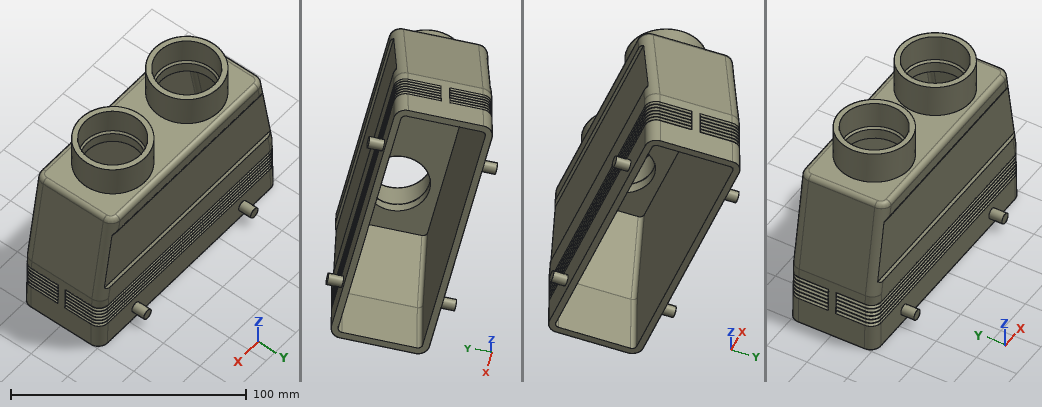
import cadquery as cq
import math

LENGTH = 120.0
WIDTH = 43.0
HOOD_HEIGHT = 76.1
SHOULDER_HEIGHT = 29.6
SHOULDER_HALF_LENGTH = 59.3
ROOF_HALF_LENGTH = 51.2
CORNER_RADIUS = 5.0
ROOF_EDGE_RADIUS = 2.5
WALL = 3.0

TOTAL_HEIGHT = 92.0
COLLAR_SPACING = 49.9
COLLAR_DIAMETER = 35.0
ENTRY_DIAMETER = 29.8
ENTRY_DEPTH = 13.0
BORE_DIAMETER = 28.0

PANEL_BOTTOM = 35.6
PANEL_TOP = 68.0
PANEL_DEPTH = 1.0
PANEL_SLOPE = 1.2

GROOVE_COUNT = 6
GROOVE_HEIGHT = 1.7
GROOVE_DEPTH = 1.0
GRIP_BOTTOM = 13.1
GRIP_HEIGHT = 11.6
GROOVE_PITCH = (GRIP_HEIGHT - GROOVE_HEIGHT) / (GROOVE_COUNT - 1)
END_RIB_WIDTH = 3.8

PIN_DIAMETER = 5.0
PIN_SPACING = 72.0
PIN_HEIGHT = 6.4
PIN_TIP_SPAN = 56.0


def hood_block(inset):
    """Hood block with rounded upright edges and a sharp roof edge, its faces moved inward by `inset`."""
    outline = [
        (LENGTH / 2 - inset, 0),
        (SHOULDER_HALF_LENGTH - inset, SHOULDER_HEIGHT),
        (ROOF_HALF_LENGTH - inset, HOOD_HEIGHT - inset),
    ]
    mirrored = [(-x, z) for x, z in reversed(outline)]
    block = cq.Workplane("XZ").polyline(outline + mirrored).close().extrude(WIDTH / 2 - inset, both=True)
    upright_edges = block.faces("<Y or >Y").edges("not #Z")
    return upright_edges.fillet(CORNER_RADIUS - inset)


def half_length_at(height):
    """Half length of the hood at a height below the shoulder."""
    lean = (LENGTH / 2 - SHOULDER_HALF_LENGTH) / SHOULDER_HEIGHT
    return LENGTH / 2 - lean * height


def side_panel_cutter():
    """Trapezoid prism on the -Y side, running past both ends of the hood."""
    face = -WIDTH / 2
    floor = face + PANEL_DEPTH
    section = [
        (face, PANEL_BOTTOM),
        (floor, PANEL_BOTTOM + PANEL_SLOPE),
        (floor, PANEL_TOP - PANEL_SLOPE),
        (face, PANEL_TOP),
    ]
    return cq.Workplane("YZ").polyline(section).close().extrude(LENGTH / 2, both=True)


def groove_cutter(bottom):
    """Ring of V section around the hood, open at the end ribs."""
    middle = bottom + GROOVE_HEIGHT / 2
    length = 2 * half_length_at(middle)
    flank_angle = math.degrees(math.atan2(GROOVE_DEPTH, GROOVE_HEIGHT / 2))
    lower_core = (
        cq.Workplane("XY")
        .sketch()
        .rect(length, WIDTH)
        .vertices()
        .fillet(CORNER_RADIUS)
        .finalize()
        .extrude(GROOVE_HEIGHT / 2, taper=flank_angle)
    )
    upper_core = lower_core.mirror("XY").translate((0, 0, GROOVE_HEIGHT))
    ring = cq.Workplane("XY").box(LENGTH, WIDTH, GROOVE_HEIGHT, centered=(True, True, False))
    end_ribs = cq.Workplane("XY").box(LENGTH, END_RIB_WIDTH, GROOVE_HEIGHT, centered=(True, True, False))
    return ring.cut(lower_core).cut(upper_core).cut(end_ribs).translate((0, 0, bottom))


def collar():
    """Solid collar, rooted halfway into the roof wall."""
    root = HOOD_HEIGHT - WALL / 2
    return (
        cq.Workplane("XY", origin=(0, 0, root))
        .circle(COLLAR_DIAMETER / 2)
        .extrude(TOTAL_HEIGHT - root)
    )


def collar_bore():
    """Wide entry, 45 degree step, then a narrower bore into the cavity."""
    entry_radius = ENTRY_DIAMETER / 2
    bore_radius = BORE_DIAMETER / 2
    entry_floor = TOTAL_HEIGHT - ENTRY_DEPTH
    step_bottom = entry_floor - (entry_radius - bore_radius)
    bore_bottom = HOOD_HEIGHT - 2 * WALL
    section = [
        (0, TOTAL_HEIGHT),
        (entry_radius, TOTAL_HEIGHT),
        (entry_radius, entry_floor),
        (bore_radius, step_bottom),
        (bore_radius, bore_bottom),
        (0, bore_bottom),
    ]
    return cq.Workplane("XZ").polyline(section).close().revolve(360, (0, 0, 0), (0, 1, 0))


def pin():
    """Pin on the -Y side, from the inner wall face outward."""
    inner_face = WIDTH / 2 - WALL
    return (
        cq.Workplane("XZ", origin=(0, -inner_face, PIN_HEIGHT))
        .circle(PIN_DIAMETER / 2)
        .extrude(PIN_TIP_SPAN / 2 - inner_face)
    )


hood = hood_block(0).faces(">Z").edges().fillet(ROOF_EDGE_RADIUS)
panel = side_panel_cutter()
hood = hood.cut(panel).cut(panel.mirror("XZ"))
for index in range(GROOVE_COUNT):
    hood = hood.cut(groove_cutter(GRIP_BOTTOM + index * GROOVE_PITCH))

collar_positions = [(-COLLAR_SPACING / 2, 0, 0), (COLLAR_SPACING / 2, 0, 0)]
for position in collar_positions:
    hood = hood.union(collar().translate(position))
cavity = hood_block(WALL)
hood = hood.cut(cavity)
for position in collar_positions:
    hood = hood.cut(collar_bore().translate(position))

for x in (-PIN_SPACING / 2, PIN_SPACING / 2):
    side_pin = pin().translate((x, 0, 0))
    hood = hood.union(side_pin).union(side_pin.mirror("XZ"))

result = hood